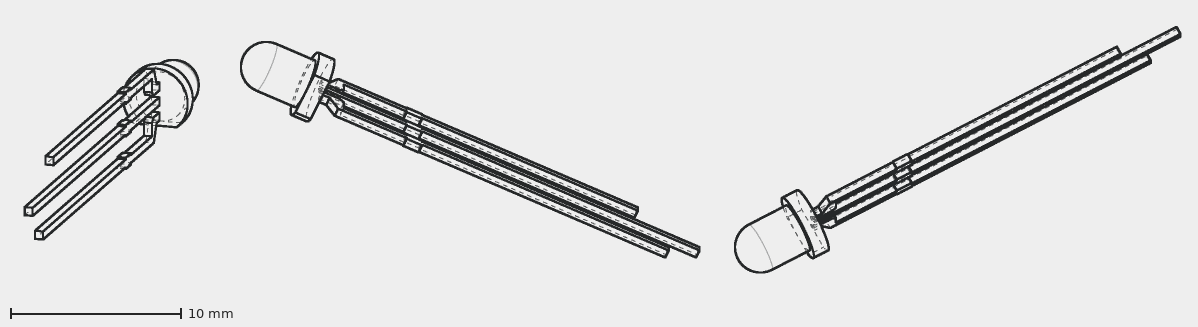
import cadquery as cq


lens_radius = 1.5
flange_radius = 2.0
flange_thickness = 1.0
body_length = 5.0
flat_height = -lens_radius

lead_width = 0.5
lead_pitch = 2.0
center_lead_length = 24.5
lower_lead_length = 22.5
upper_lead_length = 20.5

standoff_start = 5.5
standoff_length = 1.0
standoff_height = 0.7

root_offset = 0.92
bend_start = 0.5
bend_outer_end = 1.05
bend_inner_end = 1.42
bend_chamfer = 0.27


def make_lens():
    dome_base = body_length - lens_radius
    profile = (
        cq.Workplane("XY")
        .lineTo(lens_radius, 0)
        .lineTo(lens_radius, dome_base)
        .radiusArc((0, body_length), -lens_radius)
        .close()
    )
    return profile.revolve(360, (0, 0, 0), (0, 1, 0))


def make_flange():
    disc = cq.Workplane("XZ").circle(flange_radius).extrude(-flange_thickness)
    keep_height = flange_radius - flat_height
    keep = cq.Workplane("XY").box(
        2 * flange_radius, flange_thickness, keep_height, centered=(True, False, False)
    )
    return disc.intersect(keep.translate((0, 0, flat_height)))


def make_standoff(height):
    block = cq.Workplane("XY").box(lead_width, standoff_length, standoff_height)
    return block.translate((0, -standoff_start - standoff_length / 2, height))


def make_center_lead():
    wire = cq.Workplane("XZ").rect(lead_width, lead_width).extrude(center_lead_length)
    return wire.union(make_standoff(0))


def make_outer_lead(length, side):
    """Bent lead; side is +1 for the upper lead and -1 for the lower one."""
    half = lead_width / 2
    root_inner = root_offset - half
    root_outer = root_offset + half
    run_inner = lead_pitch - half
    run_outer = lead_pitch + half
    outline = [
        (0, root_inner),
        (bend_inner_end - bend_chamfer, root_inner),
        (bend_inner_end, root_inner + bend_chamfer),
        (bend_inner_end, run_inner),
        (length, run_inner),
        (length, run_outer),
        (bend_outer_end, run_outer),
        (bend_start, root_outer),
        (0, root_outer),
    ]
    points = [(-distance, side * height) for distance, height in outline]
    wire = cq.Workplane("YZ").polyline(points).close().extrude(half, both=True)
    return wire.union(make_standoff(side * lead_pitch))


result = (
    make_lens()
    .union(make_flange())
    .union(make_center_lead())
    .union(make_outer_lead(upper_lead_length, 1))
    .union(make_outer_lead(lower_lead_length, -1))
)